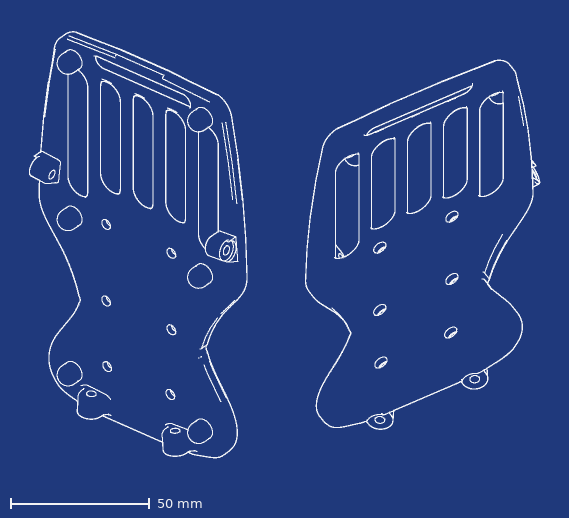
import cadquery as cq
import math

HEIGHT = 158.4
HALF_WIDTH = 46.5
THICKNESS = 5.0
EDGE_ROUND = 1.0
SILL_HALF_WIDTH = 16.6
CROWN_RADIUS = 443.5

SLOT_WIDTH = 11.0
SLOT_ROUND = 2.0
SLOT_PITCH = SLOT_WIDTH + 2 * SLOT_ROUND
SLOT_TOP_CENTER = 138.6
INNER_SLOT_LOW_CENTER = 100.9
OUTER_SLOT_LOW_CENTER = 93.5
HANDLE_WIDTH = 6.0
HANDLE_HALF_LENGTH = 19.8
HANDLE_Z = 150.3

HOLE_DIAMETER = 4.0
COUNTERBORE_DIAMETER = 5.0
COUNTERBORE_DEPTH = 2.5
HOLE_PLACES = [(15.0, 83.5), (15.0, 50.4), (14.5, 22.2)]

DOME_DIAMETER = 8.0
DOME_STRAIGHT = 3.2
DOME_X = 2 * SLOT_PITCH
DOME_ROUND = 3.8
DOME_HEIGHTS = (13.8, 81.0, 148.6)

LUG_BORE = 3.5
LUG_ROOT = 1.6

SIDE_LUG_DIAMETER = 8.0
SIDE_LUG_REACH = 4.3
SIDE_LUG_LENGTH = 8.5
SIDE_LUG_SEAT = 1.3
SIDE_LUG_OUTER_X = -45.1
SIDE_LUG_Z = 99.0
SIDE_LUG_TILT = 4.5
SIDE_LUG_SLOPE = 26.0
SIDE_LUG_ROUND = 1.3

LOW_LUG_DIAMETER = 9.5
LOW_LUG_REACH = 3.2
LOW_LUG_LENGTH = 8.0
LOW_LUG_X = -19.8
LOW_LUG_OUTER_Z = 2.2
LOW_LUG_TILT = 3.5
LOW_LUG_ROUND = 1.6
LOW_LUG_FLARE = 2.4

CLEARANCE_LENGTH = 4.8


def crown(x):
    """Height of the arched top edge at a distance x from the middle."""
    return HEIGHT - CROWN_RADIUS + math.sqrt(CROWN_RADIUS**2 - x**2)


def plate():
    """Waisted plate, symmetric about X = 0, with rounded edges."""
    corner_x = 33.0
    corner_top = (corner_x, crown(corner_x))
    crown_middle = (corner_x / 2, crown(corner_x / 2))
    corner_side = (39.5, 149.7)
    shoulder = (HALF_WIDTH, 83.3)
    waist_top = (28.2, 47.2)
    waist_low = (28.2, 43.7)
    hip = (40.5, 8.4)

    half = (
        cq.Workplane("XZ")
        .moveTo(0, HEIGHT)
        .threePointArc(crown_middle, corner_top)
        .threePointArc((37.2, 154.5), corner_side)
        .threePointArc((44.4, 118.0), shoulder)
        .spline(
            [(45.8, 79.0), (41.5, 71.5), (35.8, 63.8), (31.5, 56.2), waist_top],
            includeCurrent=True,
        )
        .threePointArc((27.5, 45.5), waist_low)
        .spline(
            [(31.2, 37.0), (36.1, 29.5), (40.4, 21.9), (42.0, 15.2), hip],
            includeCurrent=True,
        )
        .spline(
            [(37.7, 4.6), (32.6, 2.0), (27.1, 0.6), (SILL_HALF_WIDTH, 0)],
            tangents=[(-0.7, -1), (-1, 0)],
            includeCurrent=True,
        )
        .lineTo(0, 0)
        .close()
        .extrude(-THICKNESS)
    )
    body = half.union(half.mirror("YZ")).clean()
    return body.faces("<Y or >Y").edges().fillet(EDGE_ROUND)


def sill():
    """Square front edge at the bottom, between the lower lugs."""
    return cq.Workplane("XY").box(
        2 * SILL_HALF_WIDTH, EDGE_ROUND, EDGE_ROUND, centered=(True, False, False)
    )


def rounded_slot(start, end, width):
    """Cutter between two (x, z) centres that leaves rounded rims on both plate faces."""
    run = math.dist(start, end)
    along = cq.Vector((end[0] - start[0]) / run, 0, (end[1] - start[1]) / run)
    across = cq.Vector(0, 1, 0).cross(along)
    origin = (start[0], 0, start[1])
    half = width / 2
    rim = half + SLOT_ROUND
    bulge_depth = SLOT_ROUND - SLOT_ROUND * math.sqrt(0.5)
    bulge = half + bulge_depth

    def half_section():
        section = cq.Plane(origin=origin, xDir=across, normal=along)
        return (
            cq.Workplane(section)
            .lineTo(rim, 0)
            .threePointArc((bulge, bulge_depth), (half, SLOT_ROUND))
            .lineTo(half, THICKNESS - SLOT_ROUND)
            .threePointArc((bulge, THICKNESS - bulge_depth), (rim, THICKNESS))
            .lineTo(0, THICKNESS)
            .close()
        )

    end_round = half_section().revolve(360, (0, 0), (0, 1))
    side = half_section().extrude(run)
    other_side = side.rotate(origin, (origin[0], 1, origin[2]), 180).translate(along * run)
    far_round = end_round.translate(along * run)
    return side.union(other_side).union(end_round).union(far_round)


def dome(x, z):
    """Round pin whose end is rounded almost to its axis."""
    pin = cq.Workplane("XZ", origin=(x, 0, z)).circle(DOME_DIAMETER / 2)
    return pin.extrude(DOME_STRAIGHT + DOME_ROUND).faces("<Y").edges().fillet(DOME_ROUND)


def lug(plane, profile, length, round_radius):
    """Lug along the plane's normal with a rounded inner end."""
    body = profile.extrude(length)
    end_edges = body.faces(cq.DirectionMinMaxSelector(plane.zDir, True)).edges()
    return end_edges.filter(lambda edge: edge.Center().y < 0).fillet(round_radius)


def lug_opening(plane, reach, diameter, length, seat):
    """Cutter for a lug: its bore, and a round clearance outward from the seat of its outer end."""
    center = plane.toWorldCoords((0, reach, 0))
    bore = cq.Workplane(cq.Plane(center, plane.xDir, plane.zDir)).circle(LUG_BORE / 2).extrude(length)
    outward = cq.Plane(plane.toWorldCoords((0, reach, seat)), plane.xDir, -plane.zDir)
    clearance = cq.Workplane(outward).circle(diameter / 2).extrude(CLEARANCE_LENGTH)
    return bore.union(clearance)


def side_lug():
    """Left lug with its bore across the plate and a sloping underside."""
    tilt = math.radians(SIDE_LUG_TILT)
    plane = cq.Plane(
        origin=(SIDE_LUG_OUTER_X, 0, SIDE_LUG_Z),
        xDir=(math.sin(tilt), 0, math.cos(tilt)),
        normal=(math.cos(tilt), 0, -math.sin(tilt)),
    )
    radius = SIDE_LUG_DIAMETER / 2
    slope = math.radians(SIDE_LUG_SLOPE)
    touch = (-radius * math.cos(slope), SIDE_LUG_REACH + radius * math.sin(slope))
    root = touch[0] - (touch[1] + LUG_ROOT) * math.tan(slope)
    profile = (
        cq.Workplane(plane)
        .moveTo(root, -LUG_ROOT)
        .lineTo(radius, -LUG_ROOT)
        .lineTo(radius, SIDE_LUG_REACH)
        .threePointArc((0, SIDE_LUG_REACH + radius), touch)
        .close()
    )
    body = lug(plane, profile, SIDE_LUG_LENGTH, SIDE_LUG_ROUND)
    opening = lug_opening(plane, SIDE_LUG_REACH, SIDE_LUG_DIAMETER, SIDE_LUG_LENGTH, SIDE_LUG_SEAT)
    return body, opening


def low_lug():
    """Left bottom lug with its bore along the plate and flared flanks."""
    tilt = math.radians(LOW_LUG_TILT)
    plane = cq.Plane(
        origin=(LOW_LUG_X, 0, LOW_LUG_OUTER_Z),
        xDir=(-math.cos(tilt), 0, math.sin(tilt)),
        normal=(math.sin(tilt), 0, math.cos(tilt)),
    )
    radius = LOW_LUG_DIAMETER / 2
    flared = radius + LOW_LUG_FLARE
    hollow = LOW_LUG_FLARE * (1 - math.sqrt(0.5))
    profile = (
        cq.Workplane(plane)
        .moveTo(-flared, -LUG_ROOT)
        .lineTo(flared, -LUG_ROOT)
        .lineTo(flared, 0)
        .threePointArc((radius + hollow, hollow), (radius, LOW_LUG_FLARE))
        .lineTo(radius, LOW_LUG_REACH)
        .threePointArc((0, LOW_LUG_REACH + radius), (-radius, LOW_LUG_REACH))
        .lineTo(-radius, LOW_LUG_FLARE)
        .threePointArc((-radius - hollow, hollow), (-flared, 0))
        .close()
    )
    body = lug(plane, profile, LOW_LUG_LENGTH, LOW_LUG_ROUND)
    opening = lug_opening(plane, LOW_LUG_REACH, LOW_LUG_DIAMETER, LOW_LUG_LENGTH, 0)
    return body, opening


result = plate().union(sill())

for column in range(-2, 3):
    slot_x = column * SLOT_PITCH
    low_center = OUTER_SLOT_LOW_CENTER if abs(column) == 2 else INNER_SLOT_LOW_CENTER
    result = result.cut(rounded_slot((slot_x, low_center), (slot_x, SLOT_TOP_CENTER), SLOT_WIDTH))

handle_start = (-HANDLE_HALF_LENGTH, HANDLE_Z)
handle_end = (HANDLE_HALF_LENGTH, HANDLE_Z)
result = result.cut(rounded_slot(handle_start, handle_end, HANDLE_WIDTH))

for side in (-1, 1):
    for dome_z in DOME_HEIGHTS:
        result = result.union(dome(side * DOME_X, dome_z))

for left_lug, left_opening in (side_lug(), low_lug()):
    result = result.union(left_lug).union(left_lug.mirror("YZ"))
    result = result.cut(left_opening).cut(left_opening.mirror("YZ"))

hole_centers = [(side * x, z) for x, z in HOLE_PLACES for side in (-1, 1)]
back = cq.Workplane("XZ", origin=(0, THICKNESS, 0)).pushPoints(hole_centers)
holes = back.circle(HOLE_DIAMETER / 2).extrude(THICKNESS)
counterbores = back.circle(COUNTERBORE_DIAMETER / 2).extrude(COUNTERBORE_DEPTH)
result = result.cut(holes).cut(counterbores)